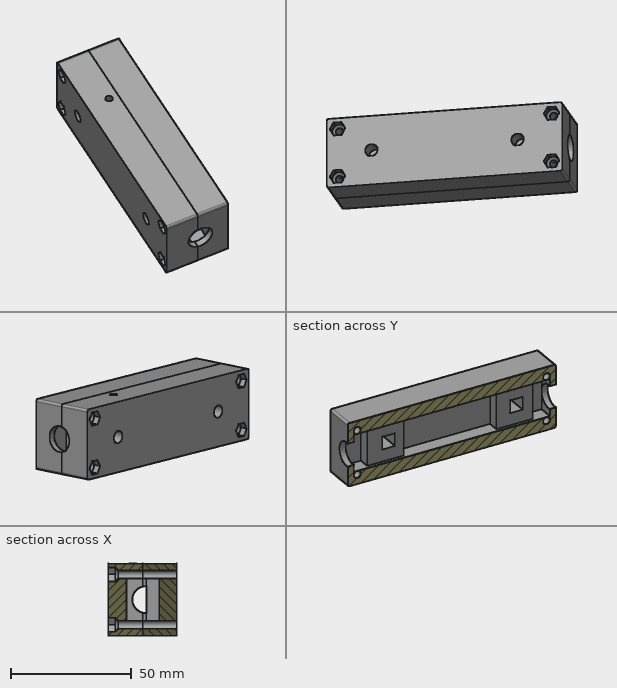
import cadquery as cq

case_length = 100.0
case_depth = 28.5
case_height = 30.0
front_depth = 14.4
edge_radius = 1.0

end_wall = 3.0
cavity_reach = 6.7
cavity_height = 17.4

cable_diameter = 11.0
cable_axis_y = 15.6

bolt_diameter = 5.2
bolt_spacing = 62.0
pad_size = cavity_height
pad_face_y = 15.9
slot_width = 6.0
slot_height = 6.0
slot_left_edges = (17.6, 78.9)

screw_inset = 4.6
screw_diameter = 3.2
nut_across_corners = 6.5
nut_depth = 3.0
seat_diameter = 5.6
seat_depth = 1.2

indicator_diameter = 3.0
indicator_x = 27.5
indicator_y = 10.2

mid_x = case_length / 2
mid_z = case_height / 2
bolt_places = [(mid_x + side * bolt_spacing / 2, mid_z) for side in (-1, 1)]
screw_places = [
    (x, z)
    for x in (screw_inset, case_length - screw_inset)
    for z in (screw_inset, case_height - screw_inset)
]


def plane_at(y):
    """Sketch plane at depth y: local x is X, local y is Z, negative extrusion runs toward +Y."""
    return cq.Workplane(cq.Plane(origin=(0, y, 0), xDir=(1, 0, 0), normal=(0, -1, 0)))


def block(length, y_start, y_end, height):
    """Box centred on the case in X and Z, spanning y_start to y_end."""
    depth = y_end - y_start
    return plane_at(y_start).center(mid_x, mid_z).rect(length, height).extrude(-depth)


def cylinders(places, diameter, y_start, y_end):
    """Cylinders along Y at the given (x, z) places."""
    return plane_at(y_start).pushPoints(places).circle(diameter / 2).extrude(y_start - y_end)


def hollow_half(y_start, y_end, cavity_start, cavity_end):
    """One half of the case with rounded edges, cavity, cable opening and screw holes."""
    half = block(case_length, y_start, y_end, case_height).edges("|Y").fillet(edge_radius)
    half = half.cut(block(case_length - 2 * end_wall, cavity_start, cavity_end, cavity_height))
    half = half.cut(cable_ends())
    return half.cut(cylinders(screw_places, screw_diameter, y_start, y_end))


def cable_ends():
    """Cutters for the cable opening in the two end walls."""
    wall_plane = cq.Workplane("YZ").center(cable_axis_y, mid_z)
    near_end = wall_plane.circle(cable_diameter / 2).extrude(end_wall)
    return near_end.union(near_end.translate((case_length - end_wall, 0, 0)))


def nut_recesses():
    """Cutters for the hexagonal nut recesses and the conical seats below them."""
    hexagons = plane_at(0).pushPoints(screw_places).polygon(6, nut_across_corners).extrude(-nut_depth)
    toward_rear = cq.Vector(0, 1, 0)
    wide, narrow = seat_diameter / 2, screw_diameter / 2
    seats = [
        cq.Solid.makeCone(wide, narrow, seat_depth, cq.Vector(x, nut_depth, z), toward_rear)
        for x, z in screw_places
    ]
    return hexagons.add(seats).combine()


def indicator_hole():
    """Cutter from the top face down to the cavity."""
    top = cq.Workplane("XY", origin=(indicator_x, indicator_y, case_height))
    return top.circle(indicator_diameter / 2).extrude(-(case_height - cavity_height) / 2)


def make_front_half():
    front = hollow_half(0, front_depth, front_depth - cavity_reach, front_depth)
    front = front.cut(cylinders(bolt_places, bolt_diameter, 0, front_depth))
    return front.cut(nut_recesses()).cut(indicator_hole())


def make_rear_half():
    cavity_end = front_depth + cavity_reach
    rear = hollow_half(front_depth, case_depth, front_depth, cavity_end)
    pads = plane_at(pad_face_y).pushPoints(bolt_places).rect(pad_size, pad_size)
    rear = rear.union(pads.extrude(pad_face_y - cavity_end))
    slot_places = [(left + slot_width / 2, mid_z) for left in slot_left_edges]
    slots = plane_at(pad_face_y).pushPoints(slot_places).rect(slot_width, slot_height)
    return rear.cut(slots.extrude(pad_face_y - case_depth))


front_half = make_front_half()
rear_half = make_rear_half()

result = cq.Compound.makeCompound([front_half.solids().val(), rear_half.solids().val()])